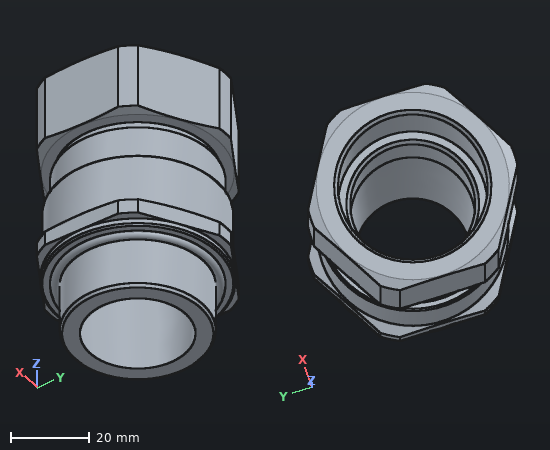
import cadquery as cq
import math

ACROSS_FLATS = 50.0
ACROSS_CORNERS = 55.0
HEX_CHAMFER_RADIUS = 24.75
HEX_CHAMFER_ANGLE = 15.0
CORNER_DROP = (ACROSS_CORNERS / 2 - HEX_CHAMFER_RADIUS) * math.tan(math.radians(HEX_CHAMFER_ANGLE))

TOTAL_HEIGHT = 72.75
FLANGE_BOTTOM = 16.0
BODY_HEX_BOTTOM = 18.0
BODY_HEX_TOP = 23.0
COLLAR_TOP = 39.0
BODY_TOP = 49.3
NECK_BOTTOM = COLLAR_TOP
NUT_HEX_HEIGHT = 21.0
NUT_HEX_BOTTOM = TOTAL_HEIGHT - NUT_HEX_HEIGHT

SPIGOT_RADIUS = 20.0
SPIGOT_CHAMFER_WIDTH = 0.6
SPIGOT_CHAMFER_HEIGHT = 1.0
FLANGE_RADIUS = ACROSS_FLATS / 2
FLANGE_CHAMFER = 0.5
COLLAR_RADIUS = 24.5
COLLAR_CHAMFER = 0.5
SLEEVE_RADIUS = 22.5
BORE_TOP_RADIUS = 16.0
BORE_BOTTOM_RADIUS = 14.8

NECK_RADIUS = 21.5
SOCKET_RADIUS = 19.15
SOCKET_DEPTH = 19.0
SOCKET_CHAMFER = 1.0
BORE_CHAMFER = 1.0

RING_SECTION_WIDTH = 2.5
RING_BEAD_RADIUS = RING_SECTION_WIDTH / 2
RING_HEIGHT = 1.6


def revolve_profile(points):
    """Revolve a closed outline of (radius, height) points about the Z axis."""
    return cq.Workplane("XZ").polyline(points).close().revolve(360, (0, 0, 0), (0, 1, 0))


def hexagon(bottom, top, chamfer_bottom):
    """Hexagon with turned corners, chamfered at the top and optionally at the bottom."""
    vertex_diameter = ACROSS_FLATS / math.cos(math.radians(30))
    prism = (
        cq.Workplane("XY")
        .workplane(offset=bottom)
        .polygon(6, vertex_diameter)
        .extrude(top - bottom)
        .rotate((0, 0, 0), (0, 0, 1), 30)
    )
    corner_radius = ACROSS_CORNERS / 2
    if chamfer_bottom:
        lower_edge = [(HEX_CHAMFER_RADIUS, bottom), (corner_radius, bottom + CORNER_DROP)]
    else:
        lower_edge = [(corner_radius, bottom)]
    upper_edge = [(corner_radius, top - CORNER_DROP), (HEX_CHAMFER_RADIUS, top)]
    turned_blank = revolve_profile([(0, bottom), *lower_edge, *upper_edge, (0, top)])
    return prism.intersect(turned_blank)


def make_gland_body():
    """Threaded spigot, flange, hexagon, collar and sleeve around a tapered bore with a neck recess."""
    turned = revolve_profile([
        (0, 0),
        (SPIGOT_RADIUS - SPIGOT_CHAMFER_WIDTH, 0),
        (SPIGOT_RADIUS, SPIGOT_CHAMFER_HEIGHT),
        (SPIGOT_RADIUS, FLANGE_BOTTOM),
        (FLANGE_RADIUS - FLANGE_CHAMFER, FLANGE_BOTTOM),
        (FLANGE_RADIUS, FLANGE_BOTTOM + FLANGE_CHAMFER),
        (FLANGE_RADIUS, BODY_HEX_BOTTOM),
        (COLLAR_RADIUS, BODY_HEX_BOTTOM),
        (COLLAR_RADIUS, COLLAR_TOP - COLLAR_CHAMFER),
        (COLLAR_RADIUS - COLLAR_CHAMFER, COLLAR_TOP),
        (SLEEVE_RADIUS, COLLAR_TOP),
        (SLEEVE_RADIUS, BODY_TOP),
        (0, BODY_TOP),
    ])
    bore = revolve_profile([
        (0, 0),
        (BORE_BOTTOM_RADIUS, 0),
        (BORE_TOP_RADIUS, NECK_BOTTOM),
        (NECK_RADIUS, NECK_BOTTOM),
        (NECK_RADIUS, BODY_TOP),
        (0, BODY_TOP),
    ])
    return turned.union(hexagon(BODY_HEX_BOTTOM, BODY_HEX_TOP, False)).cut(bore)


def make_cap_nut():
    """Hexagonal nut with an open socket on top and a neck seated in the body."""
    neck = cq.Workplane("XY").workplane(offset=NECK_BOTTOM).circle(NECK_RADIUS)
    neck = neck.extrude(NUT_HEX_BOTTOM - NECK_BOTTOM)
    socket_floor = TOTAL_HEIGHT - SOCKET_DEPTH
    opening = revolve_profile([
        (0, NECK_BOTTOM),
        (BORE_TOP_RADIUS, NECK_BOTTOM),
        (BORE_TOP_RADIUS, socket_floor - BORE_CHAMFER),
        (BORE_TOP_RADIUS + BORE_CHAMFER, socket_floor),
        (SOCKET_RADIUS, socket_floor),
        (SOCKET_RADIUS, TOTAL_HEIGHT - SOCKET_CHAMFER),
        (SOCKET_RADIUS + SOCKET_CHAMFER, TOTAL_HEIGHT),
        (0, TOTAL_HEIGHT),
    ])
    return neck.union(hexagon(NUT_HEX_BOTTOM, TOTAL_HEIGHT, True)).cut(opening)


def make_sealing_ring():
    """Ring around the spigot, flat against the flange and round underneath."""
    outer_radius = SPIGOT_RADIUS + RING_SECTION_WIDTH
    ring_bottom = FLANGE_BOTTOM - RING_HEIGHT
    bead_center_height = ring_bottom + RING_BEAD_RADIUS
    return (
        cq.Workplane("XZ")
        .moveTo(SPIGOT_RADIUS, FLANGE_BOTTOM)
        .lineTo(SPIGOT_RADIUS, bead_center_height)
        .threePointArc((SPIGOT_RADIUS + RING_BEAD_RADIUS, ring_bottom), (outer_radius, bead_center_height))
        .lineTo(outer_radius, FLANGE_BOTTOM)
        .close()
        .revolve(360, (0, 0, 0), (0, 1, 0))
    )


gland_body = make_gland_body()
cap_nut = make_cap_nut()
sealing_ring = make_sealing_ring()

result = cq.Compound.makeCompound([gland_body.val(), cap_nut.val(), sealing_ring.val()])